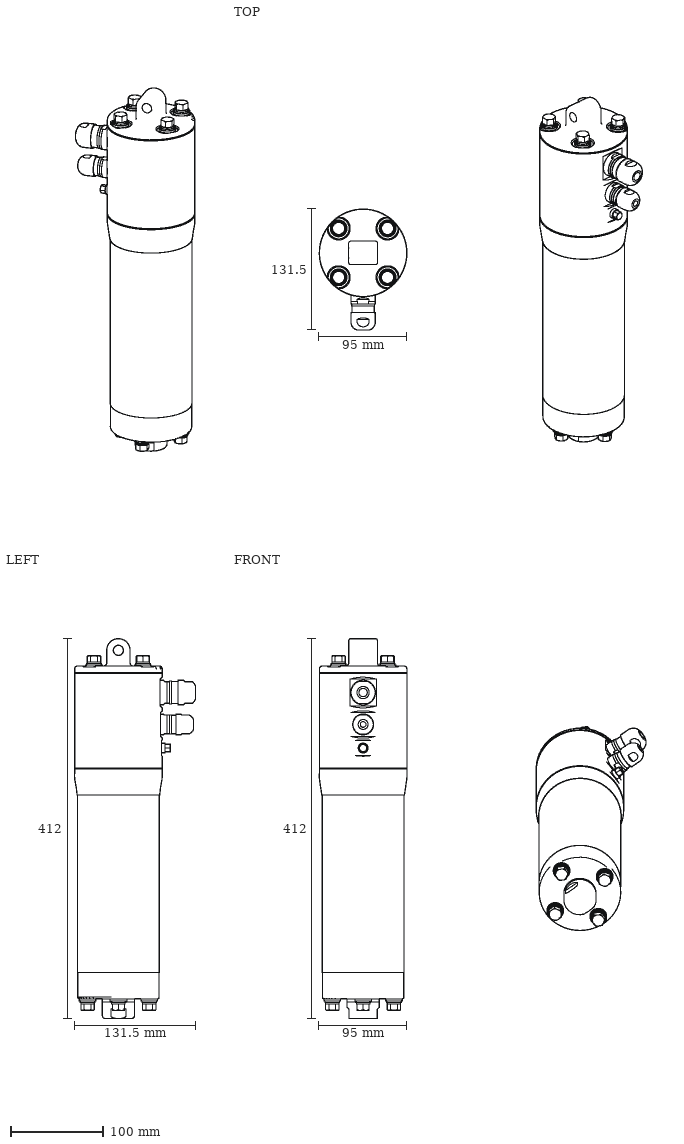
import cadquery as cq
import math


TOTAL_HEIGHT = 412.0
TOTAL_DEPTH = 131.5
SEAM_Z = 18.0
HOUSING_BOTTOM_Z = 21.5
TUBE_BOTTOM_Z = 50.2
TAPER_BOTTOM_Z = 242.0
TAPER_TOP_Z = 260.3
LOWER_JOINT_Z = 271.0
UPPER_JOINT_Z = 374.5
COVER_Z = 382.0

HEAD_DIA = 95.0
TUBE_DIA = 89.0
TAPER_END_DIA = 89.8
END_CAP_DIA = 88.5
COVER_FILLET = 3.5
END_CAP_FILLET = 2.0
TAPER_FILLET = 16.5
JOINT_WIDTH = 1.2
JOINT_DEPTH = 0.5

LUG_LENGTH = 31.5
LUG_RADIUS = 12.8
LUG_HOLE_DIA = 10.7
LUG_EDGE_FILLET = 2.5
LUG_FOOT_FILLET = 3.5

WASHER_DIA = 18.0
WASHER_TOP = 2.0
LOCK_RING_DIA = 16.0
LOCK_RING_TOP = 3.7
HEAD_CORNER_DIA = 15.0
COLLAR_TOP = 5.5
SCREW_HEIGHT = 12.5
HEAD_CHAMFER = 1.0
SCREW_ROOT = 1.2
SCREW_COUNT = 4
COVER_SCREW_CIRCLE_RADIUS = 37.5
END_SCREW_CIRCLE_RADIUS = 33.5
SPOTFACE_DIA = 22.5
SPOTFACE_DEPTH = 1.2

LARGE_GLAND_Z = 353.5
SMALL_GLAND_Z = 318.7
EARTH_SCREW_Z = 293.2
LARGE_SEAT_WIDTH = 29.0
SMALL_SEAT_WIDTH = 26.0
EARTH_SEAT_WIDTH = 16.5
GLAND_FOOT_END = 52.7
GLAND_BASE_END = 55.0
GLAND_RING_END = 57.5
BASE_FLAT_START = 48.5
BASE_STEP = 0.5
DOME_LENGTH = 9.0
GLAND_HOLE_DEPTH = 8.2
EARTH_WASHER_DIA = 10.7
EARTH_WASHER_HEIGHT = 3.7
EARTH_HEAD_DIA = 9.5
EARTH_SCREW_END = 56.5

ROD_DIA = 35.0
ROD_ACROSS_FLATS = 31.0
ROD_FLAT_HEIGHT = 12.5
ROD_FILLET = 3.5

SELECT_MARGIN = 1.2
CUT_MARGIN = 4.0


def cylinder(diameter, start, end):
    """Cylinder on the Z axis between two levels."""
    return cq.Workplane("XY").workplane(offset=start).circle(diameter / 2).extrude(end - start)


def flat_cutter(flat_y, surface_y, start, end, length, slope_end=False):
    """Prism along X that leaves a flat at y = flat_y, with a 45 degree wall at z = start.

    The wall meets y = surface_y at z = start; slope_end adds the same wall at z = end.
    """
    depth = surface_y - flat_y
    outer_y = surface_y + CUT_MARGIN
    run_out = depth if slope_end else 0
    overshoot = CUT_MARGIN if slope_end else 0
    outline = [
        (flat_y, start + depth),
        (flat_y, end - run_out),
        (outer_y, end + overshoot),
        (outer_y, start - CUT_MARGIN),
    ]
    return cq.Workplane("YZ").polyline(outline).close().extrude(length / 2, both=True)


def cut_opposite_flats(body, across_flats, diameter, start, end):
    """Cut two parallel flats, facing +Y and -Y, into a body on the Z axis."""
    cutter = flat_cutter(across_flats / 2, diameter / 2, start, end, diameter)
    return body.cut(cutter).cut(cutter.mirror("XZ"))


def face_front(body, height):
    """Turn a body built along +Z so that it points to -Y, and lift it to a height."""
    return body.rotate((0, 0, 0), (1, 0, 0), 90).translate((0, 0, height))


def joint_groove(level):
    outer = cylinder(HEAD_DIA + CUT_MARGIN, level - JOINT_WIDTH / 2, level + JOINT_WIDTH / 2)
    core_dia = HEAD_DIA - 2 * JOINT_DEPTH
    return outer.cut(cylinder(core_dia, level - JOINT_WIDTH, level + JOINT_WIDTH))


def make_shell():
    outline = [
        (0, HOUSING_BOTTOM_Z),
        (END_CAP_DIA / 2, HOUSING_BOTTOM_Z),
        (END_CAP_DIA / 2, TUBE_BOTTOM_Z),
        (TUBE_DIA / 2, TUBE_BOTTOM_Z),
        (TUBE_DIA / 2, TAPER_BOTTOM_Z),
        (TAPER_END_DIA / 2, TAPER_BOTTOM_Z),
        (HEAD_DIA / 2, TAPER_TOP_Z),
        (HEAD_DIA / 2, COVER_Z),
        (0, COVER_Z),
    ]
    shell = cq.Workplane("XZ").polyline(outline).close().revolve(360, (0, 0, 0), (0, 1, 0))
    shell = shell.faces(">Z").edges().fillet(COVER_FILLET)
    shell = shell.faces("<Z").edges().fillet(END_CAP_FILLET)
    taper_edge = cq.selectors.BoxSelector(
        (-HEAD_DIA, -HEAD_DIA, TAPER_TOP_Z - SELECT_MARGIN),
        (HEAD_DIA, HEAD_DIA, TAPER_TOP_Z + SELECT_MARGIN),
    )
    shell = shell.edges(taper_edge).edges("%CIRCLE").fillet(TAPER_FILLET)
    for level in (LOWER_JOINT_Z, UPPER_JOINT_Z):
        shell = shell.cut(joint_groove(level))
    return shell.union(cylinder(ROD_DIA, SEAM_Z, HOUSING_BOTTOM_Z + CUT_MARGIN))


def add_lug(housing):
    hole_z = TOTAL_HEIGHT - LUG_RADIUS
    lug = (
        cq.Workplane("YZ")
        .moveTo(-LUG_RADIUS, COVER_Z)
        .lineTo(-LUG_RADIUS, hole_z)
        .threePointArc((0, TOTAL_HEIGHT), (LUG_RADIUS, hole_z))
        .lineTo(LUG_RADIUS, COVER_Z)
        .close()
        .extrude(LUG_LENGTH / 2, both=True)
    )
    for side in ("<X", ">X"):
        lug = lug.faces(side).edges("not(<Z)").fillet(LUG_EDGE_FILLET)
    housing = housing.union(lug)
    foot = cq.selectors.BoxSelector(
        (-LUG_LENGTH / 2 - SELECT_MARGIN, -LUG_RADIUS - SELECT_MARGIN, COVER_Z - SELECT_MARGIN),
        (LUG_LENGTH / 2 + SELECT_MARGIN, LUG_RADIUS + SELECT_MARGIN, COVER_Z + SELECT_MARGIN),
    )
    housing = housing.edges(foot).fillet(LUG_FOOT_FILLET)
    hole = (
        cq.Workplane("YZ")
        .center(0, hole_z)
        .circle(LUG_HOLE_DIA / 2)
        .extrude(LUG_LENGTH, both=True)
    )
    return housing.cut(hole)


def hexagon_head(corner_dia, start, end):
    prism = cq.Workplane("XY").workplane(offset=start).polygon(6, corner_dia).extrude(end - start)
    rounding = cylinder(corner_dia, start, end).faces(">Z").edges().chamfer(HEAD_CHAMFER)
    return prism.intersect(rounding)


def make_screw():
    """Hexagon screw with washer, lock ring and collar, seated at z = 0 and pointing to +Z."""
    screw = cylinder(WASHER_DIA, -SCREW_ROOT, WASHER_TOP)
    screw = screw.union(cylinder(LOCK_RING_DIA, WASHER_TOP, LOCK_RING_TOP))
    screw = screw.union(cylinder(HEAD_CORNER_DIA, LOCK_RING_TOP, COLLAR_TOP))
    return screw.union(hexagon_head(HEAD_CORNER_DIA, COLLAR_TOP, SCREW_HEIGHT))


def make_spotface(seat_z):
    """Round recess with a 45 degree wall that opens through the cover face."""
    depth = SPOTFACE_DEPTH + COVER_FILLET
    radius = SPOTFACE_DIA / 2
    return (
        cq.Workplane("XZ")
        .polyline([(0, seat_z), (radius, seat_z), (radius + depth, seat_z + depth), (0, seat_z + depth)])
        .close()
        .revolve(360, (0, 0, 0), (0, 1, 0))
    )


def add_cover_screws(housing):
    seat_z = COVER_Z - SPOTFACE_DEPTH
    step = 360 / SCREW_COUNT
    spotface = make_spotface(seat_z).translate((COVER_SCREW_CIRCLE_RADIUS, 0, 0))
    screw = make_screw().rotate((0, 0, 0), (0, 0, 1), -step / 2)
    screw = screw.translate((COVER_SCREW_CIRCLE_RADIUS, 0, seat_z))
    for index in range(SCREW_COUNT):
        angle = (index + 0.5) * step
        housing = housing.cut(spotface.rotate((0, 0, 0), (0, 0, 1), angle))
        housing = housing.union(screw.rotate((0, 0, 0), (0, 0, 1), angle))
    return housing


def add_end_screws(housing):
    screw = make_screw().rotate((0, 0, 0), (1, 0, 0), 180)
    screw = screw.translate((END_SCREW_CIRCLE_RADIUS, 0, HOUSING_BOTTOM_Z))
    for index in range(SCREW_COUNT):
        angle = index * 360 / SCREW_COUNT
        housing = housing.union(screw.rotate((0, 0, 0), (0, 0, 1), angle))
    return housing


def seat_depth(seat_width):
    """Distance from the cylinder axis to a flat whose width is a chord of the housing."""
    return math.sqrt((HEAD_DIA / 2) ** 2 - (seat_width / 2) ** 2)


def cut_seat(housing, seat_width, height):
    """Square flat on the housing, with 45 degree walls above and below."""
    flat_y = seat_depth(seat_width)
    wall = HEAD_DIA / 2 - flat_y
    half_height = seat_width / 2 + wall
    cutter = flat_cutter(flat_y, HEAD_DIA / 2, -half_height, half_height, seat_width + CUT_MARGIN, True)
    return housing.cut(cutter.mirror("XZ").translate((0, 0, height)))


def make_gland(diameter, across_flats, ring_dia, neck_dia, neck_end, flat_start, end, end_dia, hole_dia):
    """Cable gland along +Z: base with flats, ring, neck and domed nut with flats."""
    root = HEAD_DIA / 2 - CUT_MARGIN
    foot = cylinder(diameter, root, GLAND_FOOT_END)
    base = foot.union(cylinder(diameter - BASE_STEP, GLAND_FOOT_END, GLAND_BASE_END))
    base = cut_opposite_flats(base, across_flats, diameter, BASE_FLAT_START, GLAND_BASE_END)
    ring = cylinder(ring_dia, GLAND_BASE_END, GLAND_RING_END)
    neck = cylinder(neck_dia, GLAND_RING_END, neck_end)

    radius = diameter / 2
    end_radius = end_dia / 2
    dome_drop = radius - end_radius
    dome_radius = (dome_drop ** 2 + DOME_LENGTH ** 2) / (2 * dome_drop)
    dome_start = end - DOME_LENGTH
    half_angle = math.asin(DOME_LENGTH / dome_radius) / 2
    dome_middle = (
        radius - dome_radius * (1 - math.cos(half_angle)),
        dome_start + dome_radius * math.sin(half_angle),
    )
    nut = (
        cq.Workplane("XZ")
        .moveTo(0, neck_end)
        .lineTo(radius, neck_end)
        .lineTo(radius, dome_start)
        .threePointArc(dome_middle, (end_radius, end))
        .lineTo(0, end)
        .close()
        .revolve(360, (0, 0, 0), (0, 1, 0))
    )
    nut = cut_opposite_flats(nut, across_flats, diameter, flat_start, end)
    nut = nut.cut(cylinder(hole_dia, end - GLAND_HOLE_DEPTH, end))
    return base.union(ring).union(neck).union(nut)


def make_earth_screw():
    seat = seat_depth(EARTH_SEAT_WIDTH)
    washer_top = seat + EARTH_WASHER_HEIGHT
    washer = cylinder(EARTH_WASHER_DIA, seat - CUT_MARGIN, washer_top)
    return washer.union(hexagon_head(EARTH_HEAD_DIA, washer_top, EARTH_SCREW_END))


def add_fittings(housing):
    large_gland = make_gland(
        diameter=26.8, across_flats=23.5, ring_dia=25.0, neck_dia=24.5,
        neck_end=64.5, flat_start=70.5, end=TOTAL_DEPTH - HEAD_DIA / 2, end_dia=13.0, hole_dia=9.0,
    )
    small_gland = make_gland(
        diameter=22.5, across_flats=20.5, ring_dia=21.0, neck_dia=20.0,
        neck_end=62.0, flat_start=67.5, end=81.5, end_dia=10.7, hole_dia=6.0,
    )
    fittings = [
        (large_gland, LARGE_SEAT_WIDTH, LARGE_GLAND_Z),
        (small_gland, SMALL_SEAT_WIDTH, SMALL_GLAND_Z),
        (make_earth_screw(), EARTH_SEAT_WIDTH, EARTH_SCREW_Z),
    ]
    for fitting, seat_width, height in fittings:
        housing = cut_seat(housing, seat_width, height)
        housing = housing.union(face_front(fitting, height))
    return housing


def make_housing():
    housing = add_lug(make_shell())
    housing = add_cover_screws(housing)
    housing = add_end_screws(housing)
    return add_fittings(housing)


def make_rod_end():
    """Round stub below the housing, with wrench flats facing +X and -X at its free end."""
    rod = cylinder(ROD_DIA, 0, SEAM_Z).faces("<Z").edges().fillet(ROD_FILLET)
    depth = (ROD_DIA - ROD_ACROSS_FLATS) / 2
    cutter = flat_cutter(ROD_ACROSS_FLATS / 2, ROD_DIA / 2, -ROD_FLAT_HEIGHT, depth, ROD_DIA)
    cutter = cutter.mirror("XY").rotate((0, 0, 0), (0, 0, 1), 90)
    return rod.cut(cutter).cut(cutter.mirror("YZ"))


housing = make_housing()
rod_end = make_rod_end()
result = cq.Compound.makeCompound([housing.val(), rod_end.val()])